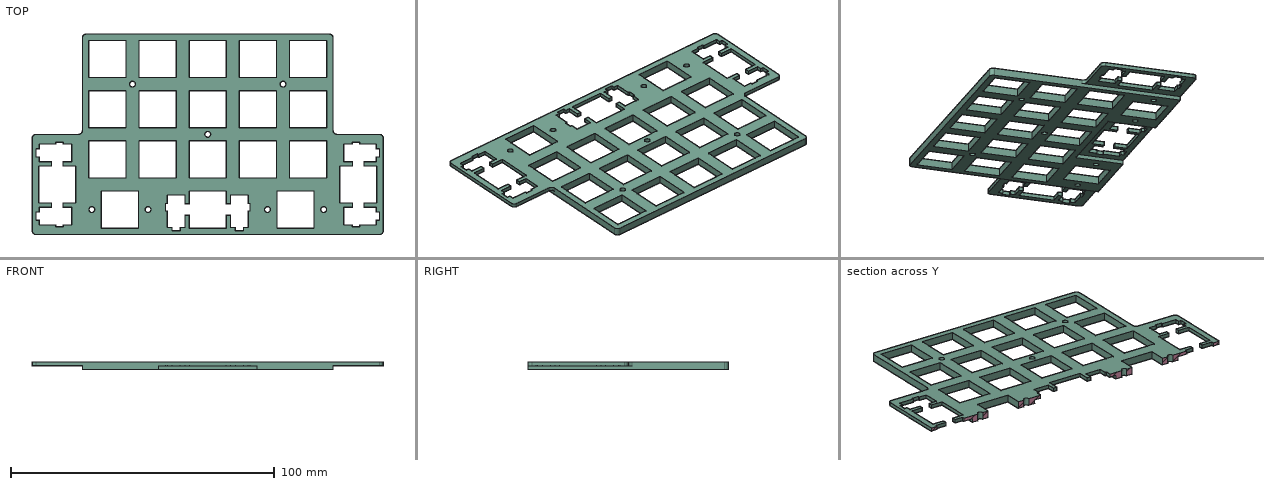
import cadquery as cq

length = 133.4
columns = 7
rows = 4
pitch = length / columns
width = rows * pitch
middle = length / 2

total_height = 3.0
plate_thickness = 1.5
wing_length = pitch
wing_width = 2 * pitch
corner_radius = 1.5
relief_length = 37.5
relief_width = pitch

switch_size = 14.0
half_switch = switch_size / 2
screw_diameter = 2.1
screw_offset = 10.7
thumb_offset = 1.75 * pitch

lobe_spacing = 12.0
lobe_length = 6.7
lobe_top = 5.5
lobe_bottom = -6.8
foot_length = 3.1
foot_bottom = -8.0
side_reach = 16.0
side_top = 2.3
side_bottom = -0.5
channel_width = 4.3


def block(x0, x1, y0, y1, height=total_height):
    """Box between two opposite corners, with its top on the plate's top face."""
    return (
        cq.Workplane("XY")
        .box(x1 - x0, y1 - y0, height, centered=False)
        .translate((x0, y0, total_height - height))
    )


def top_plate():
    """Thin plate: a wide lower half with a narrower upper half, all corners rounded."""
    lower = block(0, length, 0, wing_width, plate_thickness)
    upper = block(wing_length, length - wing_length, 0, width, plate_thickness)
    return lower.union(upper).clean().edges("|Z").fillet(corner_radius)


def thick_pad():
    """Full-height pad between the wings, relieved under the centre stabilizer."""
    pad = block(wing_length, length - wing_length, 0, width).edges("|Z and >Y").fillet(corner_radius)
    relief = cq.Workplane("XY").box(
        relief_length, relief_width, total_height - plate_thickness, centered=(True, False, False)
    )
    return pad.cut(relief.translate((middle, 0, 0)))


def switch_cutouts(centers):
    return (
        cq.Workplane("XY")
        .pushPoints(centers)
        .rect(switch_size, switch_size)
        .extrude(total_height)
    )


def screw_holes(centers):
    return cq.Workplane("XY").pushPoints(centers).circle(screw_diameter / 2).extrude(total_height)


def stabilizer_cutout():
    """Switch opening joined by a channel to a stabilizer lobe on each side, centred on the origin."""
    half_lobe = lobe_length / 2
    half_foot = foot_length / 2
    lobe = block(lobe_spacing - half_lobe, lobe_spacing + half_lobe, lobe_bottom, lobe_top)
    foot = block(lobe_spacing - half_foot, lobe_spacing + half_foot, foot_bottom, lobe_top)
    side_notch = block(lobe_spacing, side_reach, side_bottom, side_top)
    channel = block(0, lobe_spacing, -channel_width / 2, channel_width / 2)
    right_half = block(0, half_switch, -half_switch, half_switch)
    for piece in (lobe, foot, side_notch, channel):
        right_half = right_half.union(piece)
    return right_half.union(right_half.mirror("YZ"))


def placed_stabilizer(x, y, turn):
    return stabilizer_cutout().rotate((0, 0, 0), (0, 0, 1), turn).translate((x, y, 0))


switch_centers = [
    ((column + 0.5) * pitch, (row + 0.5) * pitch)
    for column in range(1, columns - 1)
    for row in range(1, rows)
]
screw_centers = [(2 * pitch, 3 * pitch), (length - 2 * pitch, 3 * pitch), (middle, 2 * pitch)]

for thumb_x in (thumb_offset, length - thumb_offset):
    switch_centers.append((thumb_x, pitch / 2))
    for side in (-1, 1):
        screw_centers.append((thumb_x + side * screw_offset, pitch / 2))

result = top_plate().union(thick_pad())
result = result.cut(switch_cutouts(switch_centers))
result = result.cut(screw_holes(screw_centers))

result = result.cut(placed_stabilizer(pitch / 2, pitch, -90))
result = result.cut(placed_stabilizer(length - pitch / 2, pitch, 90))
result = result.cut(placed_stabilizer(middle, pitch / 2, 0))